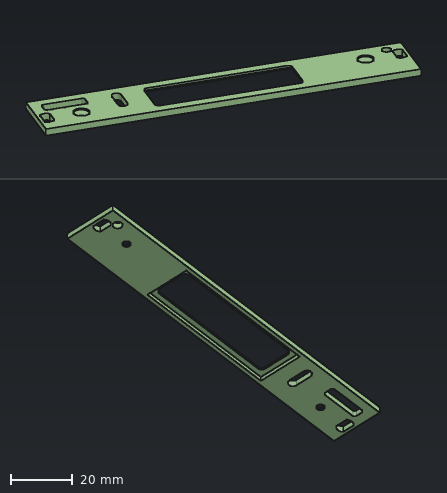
import cadquery as cq
import math

plate_width = 19.98
plate_length = 128.4
plate_thickness = 2.5
cutter_depth = 2 * plate_thickness

mount_x = 2.54
mount_edge_distance = 3.0
mount_slot_length = 6.0
mount_slot_width = 3.4
mount_slot_straight_length = 4.6
mount_y = plate_length / 2 - mount_edge_distance

screw_y = 49.5
screw_hole_diameter = 2.7
countersink_diameter = 5.4
countersink_angle = 90
seat_depth = 0.5

round_hole_x = -6.42
round_hole_y = 58.0
round_hole_diameter = 3.15

window_left = -6.5
window_right = 6.4
window_bottom = -25.3
window_top = 25.3
window_corner_radius = 1.5
lip_thickness = 0.8
lip_width = 2.0

cross_slot_x = -1.7
cross_slot_y = -34.95
cross_slot_length = 9.4
cross_slot_width = 3.2

upright_slot_left = -6.5
upright_slot_right = -2.5
upright_slot_bottom = -60.2
upright_slot_top = -45.4
upright_slot_radius = 0.8


def box_between(left, right, bottom, top, depth):
    """Box rising from Z = 0 to the given depth between the given sides."""
    centre = ((left + right) / 2, (bottom + top) / 2)
    return (
        cq.Workplane("XY")
        .center(*centre)
        .rect(right - left, top - bottom)
        .extrude(depth)
    )


def make_cross_slot():
    """Cutter for the round-ended slot along X."""
    return (
        cq.Workplane("XY")
        .center(cross_slot_x, cross_slot_y)
        .slot2D(cross_slot_length, cross_slot_width)
        .extrude(cutter_depth)
    )


def make_round_hole():
    """Cutter for the small round hole."""
    return (
        cq.Workplane("XY")
        .center(round_hole_x, round_hole_y)
        .circle(round_hole_diameter / 2)
        .extrude(cutter_depth)
    )


def mount_slot(x, y):
    """Cutter for a mounting slot with straight long sides and shallow bulging ends."""
    half_straight = mount_slot_straight_length / 2
    half_length = mount_slot_length / 2
    half_width = mount_slot_width / 2
    return (
        cq.Workplane("XY")
        .center(x, y)
        .moveTo(-half_straight, -half_width)
        .lineTo(half_straight, -half_width)
        .threePointArc((half_length, 0), (half_straight, half_width))
        .lineTo(-half_straight, half_width)
        .threePointArc((-half_length, 0), (-half_straight, -half_width))
        .close()
        .extrude(cutter_depth)
    )


def screw_hole(x, y):
    """Cutter for a screw hole: a short straight seat, a cone below it and a through hole."""
    hole_radius = screw_hole_diameter / 2
    head_radius = countersink_diameter / 2
    cone_top = plate_thickness - seat_depth
    cone_height = (head_radius - hole_radius) / math.tan(math.radians(countersink_angle / 2))
    cone_bottom = cone_top - cone_height
    return (
        cq.Workplane("XZ")
        .moveTo(0, 0)
        .lineTo(hole_radius, 0)
        .lineTo(hole_radius, cone_bottom)
        .lineTo(head_radius, cone_top)
        .lineTo(head_radius, plate_thickness)
        .lineTo(0, plate_thickness)
        .close()
        .revolve(360, (0, 0, 0), (0, 1, 0))
        .translate((x, y, 0))
    )


def make_window():
    """Cutter for the window and the recess around it in the underside."""
    opening = box_between(window_left, window_right, window_bottom, window_top, cutter_depth)
    recess = box_between(
        window_left - lip_width,
        window_right + lip_width,
        window_bottom - lip_width,
        window_top + lip_width,
        plate_thickness - lip_thickness,
    )
    return opening.edges("|Z").fillet(window_corner_radius).union(recess)


def make_upright_slot():
    """Cutter for the upright slot."""
    slot = box_between(
        upright_slot_left, upright_slot_right, upright_slot_bottom, upright_slot_top, cutter_depth
    )
    return slot.edges("|Z").fillet(upright_slot_radius)


plate = cq.Workplane("XY").rect(plate_width, plate_length).extrude(plate_thickness)
plate = plate.cut(make_window())
plate = plate.cut(make_upright_slot())
plate = plate.cut(make_cross_slot())

for side in (1, -1):
    plate = plate.cut(mount_slot(-side * mount_x, side * mount_y))
    plate = plate.cut(screw_hole(-side * mount_x, side * screw_y))

result = plate.cut(make_round_hole())